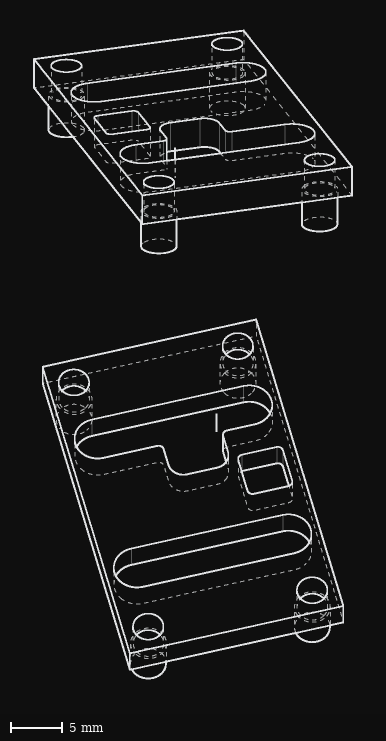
import cadquery as cq

plate_length = 33.92
plate_width = 21.57
plate_thickness = 3.1
total_height = 6.9

foot_diameter = 3.5
foot_height = total_height - plate_thickness
bore_diameter = 3.0
bore_depth = plate_thickness
foot_x = 14.45
foot_y = 8.28
foot_centers = [(sx * foot_x, sy * foot_y) for sx in (-1, 1) for sy in (-1, 1)]

slot_x = 7.63
slot_width = 4.5
slot_length = 19.8

notch_left = 1.5
notch_bottom = -4.3
notch_height = 6.0
notch_radius = 1.5
mouth_radius = 0.5
mouth_x = slot_x - slot_width / 2

window_size_x = 4.6
window_size_y = 4.5
window_center_y = -7.3
window_radius = 0.5

strip_x = 7.4
strip_side = 0.05


def upright_box(x_min, y_min, size_x, size_y):
    """A box as tall as the plate is thick, placed by its lower-left corner."""
    box = cq.Workplane("XY").box(size_x, size_y, plate_thickness, centered=False)
    return box.translate((x_min, y_min, 0))


def make_slots():
    return (
        cq.Workplane("XY")
        .pushPoints([(-slot_x, 0), (slot_x, 0)])
        .slot2D(slot_length, slot_width, 90)
        .extrude(plate_thickness)
    )


def make_notch():
    notch = upright_box(notch_left, notch_bottom, slot_x - notch_left, notch_height)
    return notch.edges("|Z and <X").fillet(notch_radius)


def make_window():
    window = upright_box(
        -window_size_x / 2, window_center_y - window_size_y / 2, window_size_x, window_size_y
    )
    return window.edges("|Z").fillet(window_radius)


def round_notch_mouth(body):
    """Round the two convex edges where the notch meets the slot."""
    mid_height = plate_thickness / 2
    for mouth_y in (notch_bottom, notch_bottom + notch_height):
        mouth_edge = cq.selectors.NearestToPointSelector((mouth_x, mouth_y, mid_height))
        body = body.edges("|Z").edges(mouth_edge).fillet(mouth_radius)
    return body


def make_plate():
    body = cq.Workplane("XY").box(
        plate_length, plate_width, plate_thickness, centered=(True, True, False)
    )
    body = body.cut(make_slots()).cut(make_notch())
    body = round_notch_mouth(body).cut(make_window())
    feet = (
        cq.Workplane("XY").pushPoints(foot_centers).circle(foot_diameter / 2).extrude(-foot_height)
    )
    bores = (
        cq.Workplane("XY", origin=(0, 0, plate_thickness))
        .pushPoints(foot_centers)
        .circle(bore_diameter / 2)
        .extrude(-bore_depth)
    )
    return body.union(feet).cut(bores).solids()


def make_strip():
    return upright_box(strip_x - strip_side / 2, notch_bottom, strip_side, strip_side)


plate = make_plate()
strip = make_strip()
result = cq.Compound.makeCompound([plate.val(), strip.val()])